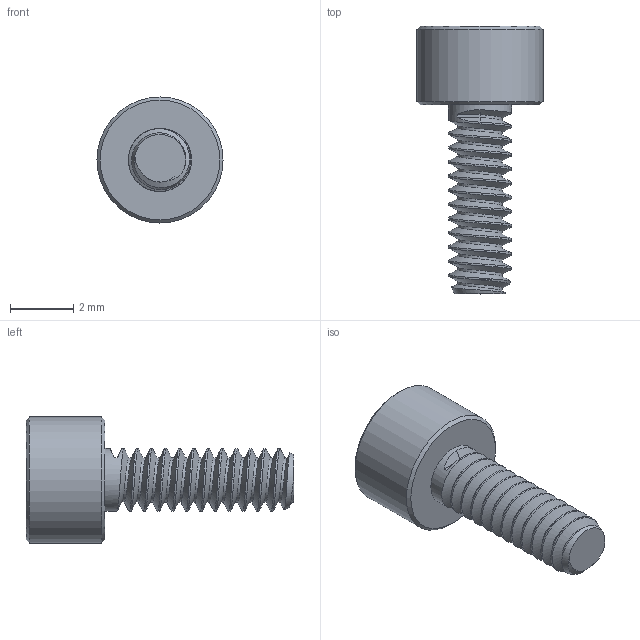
import cadquery as cq

head_diameter = 4.0
head_height = 2.5
head_chamfer = 0.1

shank_diameter = 2.0
shank_length = 6.0
tip_diameter = 1.62
tip_taper_length = 0.45

pitch = 0.45
root_radius = 0.7
root_width = pitch / 5
crest_width = pitch / 8
groove_start = 0.35
overcut = 0.01

shank_radius = shank_diameter / 2


def make_head():
    """Round head, chamfered at both ends."""
    head = cq.Workplane("XZ").circle(head_diameter / 2).extrude(-head_height)
    return head.faces("<Y or >Y").chamfer(head_chamfer)


def make_shank():
    """Round shank with a slender cone at its tip."""
    return (
        cq.Workplane("XY")
        .moveTo(0, 0)
        .lineTo(shank_radius, 0)
        .lineTo(shank_radius, tip_taper_length - shank_length)
        .lineTo(tip_diameter / 2, -shank_length)
        .lineTo(0, -shank_length)
        .close()
        .revolve(360, (0, 0, 0), (0, 1, 0))
    )


def groove_profile():
    """Groove section above the axis, in the plane X = 0."""
    root_half = root_width / 2
    crest_half = (pitch - crest_width) / 2
    flank_slope = (crest_half - root_half) / (shank_radius - root_radius)
    cutter_radius = shank_radius + overcut
    mouth_half = crest_half + overcut * flank_slope
    return cq.Workplane("YZ").polyline([
        (-groove_start - root_half, root_radius),
        (-groove_start + root_half, root_radius),
        (-groove_start + mouth_half, cutter_radius),
        (-groove_start - mouth_half, cutter_radius),
    ]).close()


def make_helical_groove():
    """Groove from the first turn out past the tip."""
    run = shank_length - groove_start + pitch
    start_frame = cq.Plane(origin=(0, -groove_start, 0), xDir=(0, 0, 1), normal=(0, -1, 0))
    helix = cq.Wire.makeHelix(pitch, run, root_radius, lefthand=True).moved(cq.Location(start_frame))
    return groove_profile().sweep(cq.Workplane(obj=helix), isFrenet=True)


def make_groove_entry():
    """Straight tangential lead-in that opens the first turn toward -X."""
    return groove_profile().extrude(-shank_diameter)


shank = make_shank().cut(make_helical_groove()).cut(make_groove_entry())
result = make_head().union(shank)